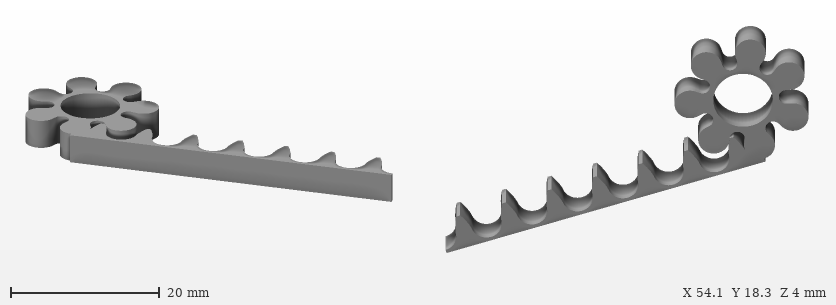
import cadquery as cq
import math

overall_length = 54.05
overall_width = 18.25
thickness = 4.0
lobe_count = 7
rack_tooth_count = 7
lobe_diameter = 4.15
bore_diameter = 8.0
gap_floor_radius = 4.8
tooth_addendum = 2.25
flank_points = 8
bisection_steps = 60

lobe_radius = lobe_diameter / 2
lobe_step = 2 * math.pi / lobe_count
leftmost_lobe_factor = math.cos(lobe_step / 4)
pitch_radius = (overall_length - lobe_radius) / (leftmost_lobe_factor + rack_tooth_count * lobe_step)
rack_pitch = pitch_radius * lobe_step
rack_length = rack_tooth_count * rack_pitch

pitch_line_y = -pitch_radius
top_lobe_y = pitch_radius * math.cos(lobe_step / 2)
rack_bottom_y = top_lobe_y + lobe_radius - overall_width
root_y = pitch_line_y - lobe_radius

gap_half_width = pitch_radius * math.sin(lobe_step / 2) - lobe_radius
gap_center_radius = gap_floor_radius + gap_half_width
bottom_angle = -math.pi / 2


def polar(radius, angle):
    return (radius * math.cos(angle), radius * math.sin(angle))


def gap_point(gap_angle, radial, sideways):
    """Point in a gap's own frame: outward along its centerline, then sideways."""
    x = radial * math.cos(gap_angle) - sideways * math.sin(gap_angle)
    y = radial * math.sin(gap_angle) + sideways * math.cos(gap_angle)
    return (x, y)


def make_gear():
    """Lobed pinion, centered on the Z axis with one lobe pointing to -Y."""
    lobe_tip_radius = pitch_radius + lobe_radius
    first_gap_angle = bottom_angle - lobe_step / 2
    outline = cq.Workplane("XY").moveTo(*gap_point(first_gap_angle, top_lobe_y, gap_half_width))
    for index in range(lobe_count):
        lobe_angle = bottom_angle + index * lobe_step
        gap_angle = lobe_angle + lobe_step / 2
        outline = (
            outline
            .threePointArc(
                polar(lobe_tip_radius, lobe_angle),
                gap_point(gap_angle, top_lobe_y, -gap_half_width),
            )
            .lineTo(*gap_point(gap_angle, gap_center_radius, -gap_half_width))
            .threePointArc(
                polar(gap_floor_radius, gap_angle),
                gap_point(gap_angle, gap_center_radius, gap_half_width),
            )
            .lineTo(*gap_point(gap_angle, top_lobe_y, gap_half_width))
        )
    bore = cq.Workplane("XY").circle(bore_diameter / 2).extrude(thickness)
    return outline.close().extrude(thickness).cut(bore)


def flank_offset(roll):
    """Flank point from the valley center: a cycloid offset inward by the lobe radius."""
    x = pitch_radius * (roll - math.sin(roll)) + lobe_radius * math.cos(roll / 2)
    y = pitch_radius * (1 - math.cos(roll)) - lobe_radius * math.sin(roll / 2)
    return (x, y)


def find_roll(is_past, low, high):
    """Bisect for the roll angle where the condition first becomes true."""
    for _ in range(bisection_steps):
        middle = (low + high) / 2
        if is_past(middle):
            high = middle
        else:
            low = middle
    return high


flank_start = find_roll(
    lambda roll: math.hypot(*flank_offset(roll)) > lobe_radius,
    lobe_radius / pitch_radius / 3,
    lobe_radius / pitch_radius,
)
flank_end = find_roll(
    lambda roll: flank_offset(roll)[1] > tooth_addendum,
    flank_start,
    math.pi / 2,
)


def rising_flank(valley_x):
    """Points up the flank to the right of a valley, from its circle to the tip."""
    points = []
    for index in range(flank_points):
        roll = flank_start + (flank_end - flank_start) * index / (flank_points - 1)
        x, y = flank_offset(roll)
        points.append((valley_x + x, pitch_line_y + y))
    return points


def falling_flank(valley_x):
    """Mirror of the rising flank: points down into the valley from its left."""
    return [(2 * valley_x - x, y) for x, y in reversed(rising_flank(valley_x))]


def valley_arc_middle(valley_x, side):
    """Point halfway down the valley circle, on its left (-1) or right (+1) side."""
    half = lobe_radius * math.sqrt(0.5)
    return (valley_x + side * half, pitch_line_y - half)


def make_rack():
    """Toothed bar whose end faces pass through the middle of a valley."""
    outline = cq.Workplane("XY").moveTo(0, rack_bottom_y).lineTo(0, root_y)
    for index in range(rack_tooth_count):
        left_x = index * rack_pitch
        right_x = left_x + rack_pitch
        rising = rising_flank(left_x)
        falling = falling_flank(right_x)
        outline = (
            outline
            .threePointArc(valley_arc_middle(left_x, 1), rising[0])
            .spline(rising[1:], includeCurrent=True)
            .lineTo(*falling[0])
            .spline(falling[1:], includeCurrent=True)
            .threePointArc(valley_arc_middle(right_x, -1), (right_x, root_y))
        )
    return outline.lineTo(rack_length, rack_bottom_y).close().extrude(thickness)


gear = make_gear()
rack = make_rack()

result = cq.Compound.makeCompound([gear.val(), rack.val()])